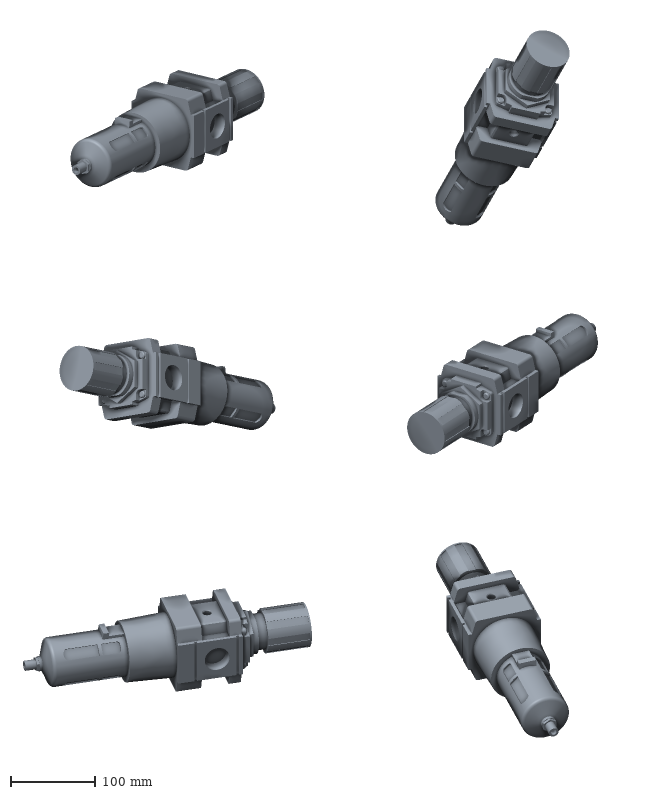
import cadquery as cq
import math


KNOB_END = 121.5
KNOB_FOOT = 68.0
NECK_FOOT = 56.7
COLLAR_FOOT = 49.5
NUT_FOOT = 43.2
BODY_TOP = 31.5
WAIST_TOP = 17.0
WAIST_FOOT = -17.3
BODY_FOOT = -47.7
GUARD_FOOT = -105.0
BOWL_FOOT = -192.5
DOME_FOOT = -204.0
DRAIN_NUT_TOP = -208.0
DRAIN_NUT_FOOT = -211.0
DRAIN_END = -224.5

KNOB_RADIUS = 27.0
FLUTE_COUNT = 8
FLUTE_HALF_WIDTH = 5.0
FLUTE_FLOOR_RADIUS = 25.5
FLUTE_END_GAP = 2.0
NECK_RADIUS = 44.0 / 2
COLLAR_RADIUS = 26.0
COLLAR_HALF_FLATS = 24.2
NUT_RADIUS = 32.0

SLOPE_ANGLE = 15
SLOPE = math.tan(math.radians(SLOPE_ANGLE))
BODY_HALF_X = 91.0 / 2
BODY_HALF_Z = 45.0
BODY_CORNER_X = 36.0
BODY_CORNER_RADIUS = 4.0
SIDE_HALF_Z = 26.5

SIDE_GROOVES = [(27.5, 23.5), (-24.5, -27.7)]
SIDE_GROOVE_DEPTH = 3.0

PAD_HALF_Z = 37.5
PAD_HALF_X = 21.5
PAD_BEVEL_X = 2.0
PAD_BEVEL_SLOPE = math.tan(math.radians(30))
PAD_FOOT_HALF_X = 27.0
CHANNEL_LIP_X = 41.5
CHANNEL_FOOT_X = 39.0

PORT_DIAMETER = 30.5
PORT_DEPTH = 15.0
GAUGE_DIAMETER = 10.0
GAUGE_MOUTH_DIAMETER = 12.0
GAUGE_DEPTH = 10.5

BONNET_HALF = 35.0
BONNET_STEP_X = 18.0
BONNET_STEP_Z = 32.0
BONNET_CORNER_RADIUS = 3.0
SCREW_X = 29.8
SCREW_Z = 23.5
SCREW_POCKET_RADIUS = 5.2
SCREW_POCKET_DEPTH = 6.5
SCREW_HEAD_RADIUS = 8.3 / 2
SCREW_HEAD_HEIGHT = 3.0
SCREW_HEAD_CHAMFER = 1.0

GUARD_TOP_RADIUS = 39.5
GUARD_FOOT_RADIUS = 37.0
BOWL_RADIUS = 60.0 / 2
DOME_EDGE_RADIUS = 5.0
DOME_ANGLE = 22
DRAIN_NECK_RADIUS = 18.0 / 2
DRAIN_RADIUS = 12.0 / 2
DRAIN_BORE_RADIUS = 7.0 / 2

WINDOW_COLUMN_ANGLES = (45, 135, 225, 315)
WINDOW_HALF_WIDTH = 7.0
WINDOW_FLOOR_RADIUS = 27.0
UPPER_WINDOW_TOP = -112.0
UPPER_WINDOW_FOOT = -135.0
LOWER_WINDOW_TOP = -139.0
LOWER_WINDOW_SHOULDER = -179.0
LOWER_WINDOW_TIP = -182.0
WINDOW_CORNER_RADIUS = 3.5

LATCH_HALF_WIDTH = 10.7
LATCH_STEM_Z = 31.5
LATCH_HEAD_Z = 36.0
LATCH_HEAD_TOP = -123.5
LATCH_HEAD_FOOT = -130.0
LATCH_FRONT_ANGLE = 10


def section(y):
    """Plane across the main axis at y; it extrudes toward the drain."""
    return cq.Workplane("XZ", origin=(0, y, 0))


def cylinder(radius, top, foot):
    return section(top).circle(radius).extrude(top - foot)


def hexagon(radius, top, foot):
    """Hexagonal prism with corners on the Z axis."""
    corners = [
        (radius * math.sin(math.radians(angle)), radius * math.cos(math.radians(angle)))
        for angle in range(0, 360, 60)
    ]
    return section(top).polyline(corners).close().extrude(top - foot)


def four_way_prism(quarter, top, foot):
    """Prism whose outline is one quarter (+X, +Z) mirrored in X and in Z."""
    right = quarter + [(x, -z) for x, z in reversed(quarter)]
    outline = right + [(-x, z) for x, z in reversed(right)]
    return section(top).polyline(outline).close().extrude(top - foot)


def edges_at(half_x, half_z):
    """Selects the four lengthwise edges at (+-half_x, +-half_z)."""
    reach = 0.5
    selector = None
    for x in (-half_x, half_x):
        for z in (-half_z, half_z):
            low = (x - reach, DRAIN_END, z - reach)
            high = (x + reach, KNOB_END, z + reach)
            box = cq.selectors.BoxSelector(low, high)
            selector = box if selector is None else selector + box
    return selector


def make_knob():
    knob = cylinder(KNOB_RADIUS, KNOB_END, KNOB_FOOT)
    flute_top = KNOB_END - FLUTE_END_GAP
    flute = (
        section(flute_top)
        .center(0, FLUTE_FLOOR_RADIUS + FLUTE_HALF_WIDTH)
        .rect(2 * FLUTE_HALF_WIDTH, 2 * FLUTE_HALF_WIDTH)
        .extrude(flute_top - KNOB_FOOT)
    )
    for index in range(FLUTE_COUNT):
        knob = knob.cut(flute.rotate((0, 0, 0), (0, 1, 0), index * 360 / FLUTE_COUNT))
    return knob


def make_collar():
    collar = cylinder(COLLAR_RADIUS, NECK_FOOT, COLLAR_FOOT)
    flats = (
        section(NECK_FOOT)
        .rect(2 * COLLAR_RADIUS, 2 * COLLAR_HALF_FLATS)
        .extrude(NECK_FOOT - COLLAR_FOOT)
    )
    return collar.intersect(flats)


def make_bonnet():
    corner_z = BONNET_STEP_Z - (BONNET_HALF - BONNET_STEP_X) * SLOPE
    quarter = [
        (BONNET_STEP_X, BONNET_HALF),
        (BONNET_STEP_X, BONNET_STEP_Z),
        (BONNET_HALF, corner_z),
    ]
    bonnet = four_way_prism(quarter, NUT_FOOT, BODY_TOP)
    bonnet = bonnet.edges(edges_at(BONNET_HALF, corner_z)).fillet(BONNET_CORNER_RADIUS)

    inner_x = SCREW_X - SCREW_POCKET_RADIUS
    inner_z = SCREW_Z - SCREW_POCKET_RADIUS
    pocket = (
        section(NUT_FOOT)
        .moveTo(inner_x, BONNET_HALF)
        .lineTo(inner_x, SCREW_Z)
        .radiusArc((SCREW_X, inner_z), -SCREW_POCKET_RADIUS)
        .lineTo(BONNET_HALF, inner_z)
        .lineTo(BONNET_HALF, BONNET_HALF)
        .close()
        .extrude(SCREW_POCKET_DEPTH)
    )
    pocket_floor = NUT_FOOT - SCREW_POCKET_DEPTH
    head = (
        cylinder(SCREW_HEAD_RADIUS, pocket_floor + SCREW_HEAD_HEIGHT, pocket_floor)
        .faces(">Y")
        .chamfer(SCREW_HEAD_CHAMFER)
        .translate((SCREW_X, 0, SCREW_Z))
    )
    pockets = pocket.union(pocket.mirror("YZ"))
    heads = head.union(head.mirror("YZ"))
    bonnet = bonnet.cut(pockets).cut(pockets.mirror("XY"))
    return bonnet.union(heads).union(heads.mirror("XY"))


def make_flange(top, foot):
    """Full body section with sloped corners above and below the side faces."""
    inner_x = BODY_CORNER_X + (BODY_HALF_Z - SIDE_HALF_Z) * SLOPE
    quarter = [
        (BODY_CORNER_X, BODY_HALF_Z),
        (inner_x, SIDE_HALF_Z),
        (BODY_HALF_X, SIDE_HALF_Z),
    ]
    flange = four_way_prism(quarter, top, foot)
    return flange.edges(edges_at(BODY_CORNER_X, BODY_HALF_Z)).fillet(BODY_CORNER_RADIUS)


def make_waist():
    """Body section between the flanges: a gauge pad and a channel beside it."""
    bevel_x = PAD_HALF_X + PAD_BEVEL_X
    bevel_z = PAD_HALF_Z - PAD_BEVEL_X * PAD_BEVEL_SLOPE
    floor_z = bevel_z - (PAD_FOOT_HALF_X - bevel_x) / SLOPE
    quarter = [
        (PAD_HALF_X, PAD_HALF_Z),
        (bevel_x, bevel_z),
        (PAD_FOOT_HALF_X, floor_z),
        (CHANNEL_FOOT_X, floor_z),
        (CHANNEL_LIP_X, SIDE_HALF_Z),
        (BODY_HALF_X, SIDE_HALF_Z),
    ]
    return four_way_prism(quarter, WAIST_TOP, WAIST_FOOT)


def make_body():
    body = make_flange(BODY_TOP, WAIST_TOP)
    body = body.union(make_waist())
    body = body.union(make_flange(WAIST_FOOT, BODY_FOOT))

    for upper, lower in SIDE_GROOVES:
        for side in (-1, 1):
            groove = (
                section(upper)
                .center(side * BODY_HALF_X, 0)
                .rect(2 * SIDE_GROOVE_DEPTH, 2 * BODY_HALF_Z)
                .extrude(upper - lower)
            )
            body = body.cut(groove)

    port = (
        cq.Workplane("YZ", origin=(-BODY_HALF_X, 0, 0))
        .circle(PORT_DIAMETER / 2)
        .extrude(PORT_DEPTH)
    )
    mouth_depth = (GAUGE_MOUTH_DIAMETER - GAUGE_DIAMETER) / 2
    gauge = (
        cq.Workplane("XY", origin=(0, 0, PAD_HALF_Z - GAUGE_DEPTH))
        .circle(GAUGE_DIAMETER / 2)
        .extrude(GAUGE_DEPTH)
    )
    mouth = (
        cq.Workplane("XY", origin=(0, 0, PAD_HALF_Z))
        .circle(GAUGE_MOUTH_DIAMETER / 2)
        .workplane(offset=-mouth_depth)
        .circle(GAUGE_DIAMETER / 2)
        .loft()
    )
    gauge = gauge.union(mouth)
    body = body.cut(port).cut(port.mirror("YZ"))
    return body.cut(gauge).cut(gauge.mirror("XY"))


def make_bowl():
    """Tapered guard, bowl with rounded edge and conical dome, and drain neck."""
    tilt = math.radians(DOME_ANGLE)
    edge_center_x = BOWL_RADIUS - DOME_EDGE_RADIUS
    middle = (math.pi / 2 - tilt) / 2
    edge_middle = (
        edge_center_x + DOME_EDGE_RADIUS * math.cos(middle),
        BOWL_FOOT - DOME_EDGE_RADIUS * math.sin(middle),
    )
    edge_end = (
        edge_center_x + DOME_EDGE_RADIUS * math.sin(tilt),
        BOWL_FOOT - DOME_EDGE_RADIUS * math.cos(tilt),
    )
    return (
        cq.Workplane("XY")
        .moveTo(0, BODY_FOOT)
        .lineTo(GUARD_TOP_RADIUS, BODY_FOOT)
        .lineTo(GUARD_FOOT_RADIUS, GUARD_FOOT)
        .lineTo(BOWL_RADIUS, GUARD_FOOT)
        .lineTo(BOWL_RADIUS, BOWL_FOOT)
        .threePointArc(edge_middle, edge_end)
        .lineTo(DRAIN_NECK_RADIUS, DOME_FOOT)
        .lineTo(DRAIN_NECK_RADIUS, DRAIN_NUT_TOP)
        .lineTo(0, DRAIN_NUT_TOP)
        .close()
        .revolve(360, (0, 0, 0), (0, 1, 0))
    )


def make_windows():
    """Cutters for one column of two windows, above the +Z side of the bowl."""
    floor = cq.Workplane("XY", origin=(0, 0, WINDOW_FLOOR_RADIUS))
    upper = (
        floor.moveTo(0, (UPPER_WINDOW_TOP + UPPER_WINDOW_FOOT) / 2)
        .rect(2 * WINDOW_HALF_WIDTH, UPPER_WINDOW_TOP - UPPER_WINDOW_FOOT)
        .extrude(BOWL_RADIUS)
        .edges("|Z and >Y")
        .fillet(WINDOW_CORNER_RADIUS)
    )
    lower = (
        floor.moveTo(-WINDOW_HALF_WIDTH, LOWER_WINDOW_TOP)
        .lineTo(WINDOW_HALF_WIDTH, LOWER_WINDOW_TOP)
        .lineTo(WINDOW_HALF_WIDTH, LOWER_WINDOW_SHOULDER)
        .threePointArc((0, LOWER_WINDOW_TIP), (-WINDOW_HALF_WIDTH, LOWER_WINDOW_SHOULDER))
        .close()
        .extrude(BOWL_RADIUS)
    )
    return upper.union(lower)


def make_latch():
    """Latch stem and raised head, rooted inside the bowl."""
    root_z = BOWL_RADIUS / 2
    front_lean = (LATCH_HEAD_Z - root_z) * math.tan(math.radians(LATCH_FRONT_ANGLE))
    return (
        cq.Workplane("YZ", origin=(-LATCH_HALF_WIDTH, 0, 0))
        .moveTo(GUARD_FOOT, root_z)
        .lineTo(GUARD_FOOT, LATCH_STEM_Z)
        .lineTo(LATCH_HEAD_TOP, LATCH_STEM_Z)
        .lineTo(LATCH_HEAD_TOP, LATCH_HEAD_Z)
        .lineTo(LATCH_HEAD_FOOT, LATCH_HEAD_Z)
        .lineTo(LATCH_HEAD_FOOT - front_lean, root_z)
        .close()
        .extrude(2 * LATCH_HALF_WIDTH)
    )


def make_drain():
    drain = hexagon(DRAIN_NECK_RADIUS, DRAIN_NUT_TOP, DRAIN_NUT_FOOT)
    drain = drain.union(cylinder(DRAIN_RADIUS, DRAIN_NUT_FOOT, DRAIN_END))
    return drain.cut(cylinder(DRAIN_BORE_RADIUS, DRAIN_NUT_FOOT, DRAIN_END))


result = make_bowl()
for angle in WINDOW_COLUMN_ANGLES:
    result = result.cut(make_windows().rotate((0, 0, 0), (0, 1, 0), angle))
result = (
    result.union(make_latch())
    .union(make_drain())
    .union(make_body())
    .union(make_bonnet())
    .union(hexagon(NUT_RADIUS, COLLAR_FOOT, NUT_FOOT))
    .union(make_collar())
    .union(cylinder(NECK_RADIUS, KNOB_FOOT, NECK_FOOT))
    .union(make_knob())
)